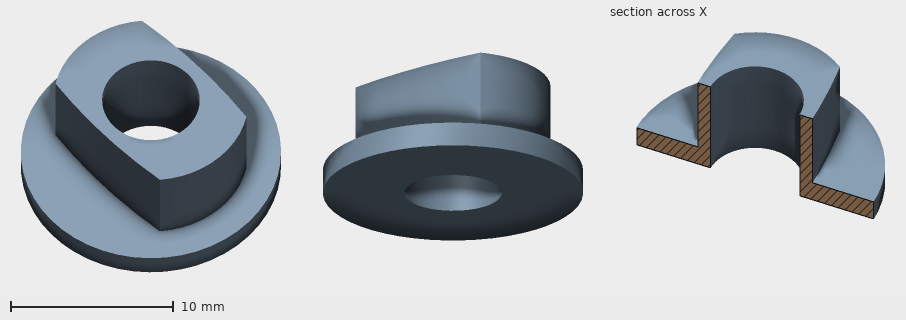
import cadquery as cq
import math

flange_diameter = 16.0
flange_thickness = 1.5
total_height = 7.0
boss_diameter = 12.0
boss_width = 7.76
corner_half_span = 4.83
bore_diameter = 6.0

boss_radius = boss_diameter / 2
boss_half_width = boss_width / 2
corner_y = math.sqrt(boss_radius**2 - corner_half_span**2)


def make_flange():
    """Round disc at the foot of the bushing."""
    return cq.Workplane("XY").circle(flange_diameter / 2).extrude(flange_thickness)


def make_boss():
    """Boss with two round ends and two slightly crowned sides."""
    return (
        cq.Workplane("XY")
        .moveTo(-corner_half_span, -corner_y)
        .threePointArc((0, -boss_half_width), (corner_half_span, -corner_y))
        .threePointArc((boss_radius, 0), (corner_half_span, corner_y))
        .threePointArc((0, boss_half_width), (-corner_half_span, corner_y))
        .threePointArc((-boss_radius, 0), (-corner_half_span, -corner_y))
        .close()
        .extrude(total_height)
    )


def make_bore():
    """Cylinder that clears the full height of the part."""
    return cq.Workplane("XY").circle(bore_diameter / 2).extrude(total_height)


result = make_flange().union(make_boss()).cut(make_bore())